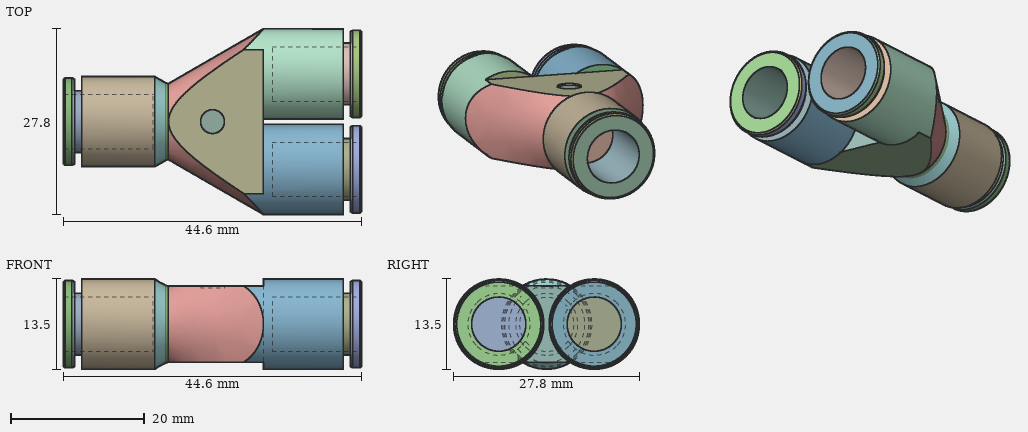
import cadquery as cq

total_length = 44.6
barrel_diameter = 13.5
barrel_radius = barrel_diameter / 2
branch_offset = 7.15

collar_radius = 6.55
collar_length = 1.7
collar_face_chamfer = 0.25
collar_back_chamfer_length = 0.4
collar_back_chamfer_height = 0.22
stem_radius = 4.65
stem_end = 2.7
bore_radius = 4.05
bore_depth = 13.4

inlet_barrel_end = 13.65
taper_end = 15.25
taper_end_radius = 5.85
neck_end = 15.7
neck_diameter = 11.37
neck_radius = neck_diameter / 2

body_end = 29.93
body_height = 11.4
body_half_height = body_height / 2
body_end_radius = branch_offset + barrel_radius
cone_slope = (body_end_radius - neck_radius) / (body_end - neck_end)

recess_x = 22.3
recess_radius = 1.8
recess_depth = 0.25


def revolve_about_x(outline):
    """Solid of revolution about the X axis from (x, radius) points."""
    axis_start = (outline[0][0], 0)
    axis_end = (outline[-1][0], 0)
    points = [axis_start] + outline + [axis_end]
    return cq.Workplane("XY").polyline(points).close().revolve(360, (0, 0), (1, 0))


def port(barrel_outline):
    """Collar, stem and barrel along +X, with the port face at x = 0."""
    collar_and_stem = [
        (0, collar_radius - collar_face_chamfer),
        (collar_face_chamfer, collar_radius),
        (collar_length - collar_back_chamfer_length, collar_radius),
        (collar_length, collar_radius - collar_back_chamfer_height),
        (collar_length, stem_radius),
        (stem_end, stem_radius),
        (stem_end, barrel_radius),
    ]
    return revolve_about_x(collar_and_stem + barrel_outline)


def inlet():
    """Inlet port, its barrel tapering down to the neck."""
    return port([
        (inlet_barrel_end, barrel_radius),
        (taper_end, taper_end_radius),
        (neck_end, neck_radius),
    ])


def port_bore():
    return cq.Workplane("YZ").circle(bore_radius).extrude(bore_depth)


def to_outlets(shape):
    """Two copies of a shape made at the inlet end, turned round to the outlets."""
    turned = shape.rotate((0, 0, 0), (0, 0, 1), 180)
    left = turned.translate((total_length, branch_offset, 0))
    right = turned.translate((total_length, -branch_offset, 0))
    return left.union(right)


def body_box(width, bottom, height):
    """Box over the length of the Y body, centred on y = 0."""
    length = body_end - neck_end
    corner = (neck_end, -width / 2, bottom)
    return cq.Workplane("XY").box(length, width, height, centered=False).translate(corner)


def branches():
    """Both outlets and the web between them, trimmed to a cone and cut flat above and below."""
    outlet_length = total_length - neck_end
    outlets = to_outlets(port([(outlet_length, barrel_radius)]))
    web = body_box(2 * branch_offset, -body_half_height, body_height)

    far_radius = neck_radius + cone_slope * outlet_length
    cone = revolve_about_x([(neck_end, neck_radius), (total_length, far_radius)])
    trimmed = outlets.union(web).intersect(cone)

    flat_depth = barrel_radius
    for bottom in (body_half_height, -body_half_height - flat_depth):
        trimmed = trimmed.cut(body_box(2 * body_end_radius, bottom, flat_depth))
    return trimmed


def marking_recess():
    floor = body_half_height - recess_depth
    return (
        cq.Workplane("XY", origin=(recess_x, 0, floor))
        .circle(recess_radius)
        .extrude(recess_depth)
    )


result = (
    inlet()
    .union(branches())
    .cut(port_bore())
    .cut(to_outlets(port_bore()))
    .cut(marking_recess())
)